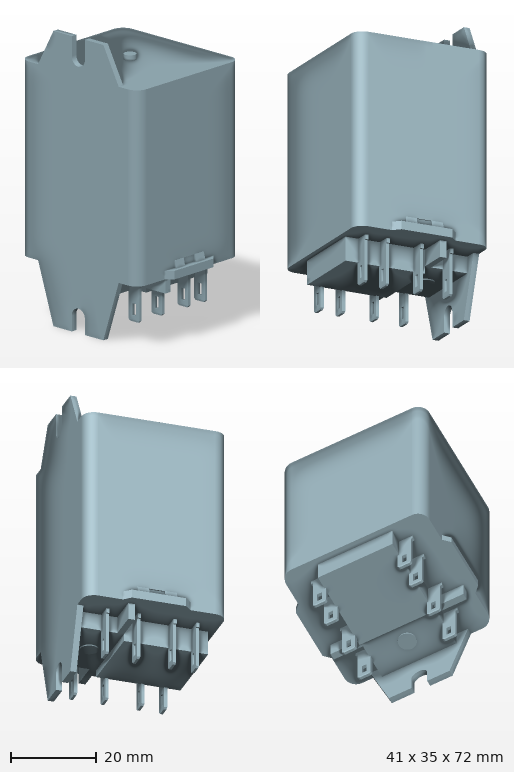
import cadquery as cq
import math


overall_height = 72

cover_width = 37.7
cover_depth = 35.0
cover_height = 47.8
corner_radius = 3.0
cover_center_y = cover_depth / 2

ear_thickness = 1.5
ear_root_half_width = 12.9
ear_tip_half_width = 8.0
top_ear_length = 9.15
bottom_ear_length = overall_height - cover_height - top_ear_length
slot_width = 4.2
top_slot_depth = 7.05
bottom_slot_depth = 6.0

overall_width = 41.0
tab_reach = (overall_width - cover_width) / 2
tab_length = 16.55
tab_height = 2.1
ramp_height = 1.8
ramp_span = 9.8
dent_width = 3.9
ramp_angle = 15
dent_angle = 6
dent_bottom_depth = 0.15
ramp_lip = 0.15

base_half_width = 9.8
deep_block_depth = 5.9
deep_block_front_y = 12.6
deep_block_back_y = 33.3
shallow_depth = 4.1
rib_half_width = 17.5
rib_front_y = 10.95

terminal_rows_y = (7.4, 15.1, 24.0, 29.6)
terminal_outer_x = 12.9
terminal_width = 3.45
terminal_thickness = 0.8
terminal_length = 11.45
terminal_x = terminal_outer_x - terminal_width / 2
tip_height = 0.4
tip_side_inset = 0.4
tip_face_inset = 0.1
shoulder_step = 0.5
shoulder_length = 1.15
eye_width = 1.2
eye_height = 2.95
eye_center_z = -8.5

stud_diameter = 3.0
stud_height = 1.4
plug_diameter = 4.5
plug_height = 0.3
plug_y = terminal_rows_y[0]


def box(x_min, x_max, y_min, y_max, z_min, z_max):
    """Box given by its limits along the three axes."""
    size = (x_max - x_min, y_max - y_min, z_max - z_min)
    return cq.Workplane("XY").box(*size, centered=False).translate((x_min, y_min, z_min))


def make_ear(root_z, length, slot_depth, direction):
    """Tapered ear with an open slot; direction is +1 upwards and -1 downwards."""
    tip_z = root_z + direction * length
    slot_radius = slot_width / 2
    slot_end_z = tip_z - direction * slot_depth
    slot_arc_z = slot_end_z + direction * slot_radius
    outline = (
        cq.Workplane("XZ")
        .moveTo(-ear_root_half_width, root_z)
        .lineTo(-ear_tip_half_width, tip_z)
        .lineTo(-slot_radius, tip_z)
        .lineTo(-slot_radius, slot_arc_z)
        .threePointArc((0, slot_end_z), (slot_radius, slot_arc_z))
        .lineTo(slot_radius, tip_z)
        .lineTo(ear_tip_half_width, tip_z)
        .lineTo(ear_root_half_width, root_z)
        .close()
    )
    return outline.extrude(-ear_thickness)


def make_tab():
    """Side tab with 45 degree ends on the +X side."""
    wall_x = cover_width / 2
    y_min = cover_center_y - tab_length / 2
    y_max = cover_center_y + tab_length / 2
    return (
        cq.Workplane("XY")
        .moveTo(wall_x, y_min)
        .lineTo(wall_x + tab_reach, y_min + tab_reach)
        .lineTo(wall_x + tab_reach, y_max - tab_reach)
        .lineTo(wall_x, y_max)
        .close()
        .extrude(tab_height)
    )


def extrude_along_wall(outline, width, center_y):
    """Closed XZ outline extruded along Y, centred on center_y."""
    return cq.Workplane("XZ", origin=(0, center_y + width / 2, 0)).polyline(outline).close().extrude(width)


def make_ramp(width, center_y):
    """Wedge on the +X wall that grows from a lip at its top down to the tab."""
    wall_x = cover_width / 2
    top_x = wall_x + ramp_lip
    bottom_x = top_x + ramp_height * math.tan(math.radians(ramp_angle))
    top_z = tab_height + ramp_height
    outline = [(wall_x, tab_height), (bottom_x, tab_height), (top_x, top_z), (wall_x, top_z)]
    return extrude_along_wall(outline, width, center_y)


def make_dent():
    """Shallow sloping recess cut into the +X wall between the two ramps, deepest at its top."""
    wall_x = cover_width / 2
    bottom_x = wall_x - dent_bottom_depth
    top_x = bottom_x - ramp_height * math.tan(math.radians(dent_angle))
    top_z = tab_height + ramp_height
    outline = [(wall_x, tab_height), (wall_x, top_z), (top_x, top_z), (bottom_x, tab_height)]
    return extrude_along_wall(outline, dent_width, cover_center_y)


def make_cover():
    cover = (
        cq.Workplane("XY", origin=(0, cover_center_y, 0))
        .rect(cover_width, cover_depth)
        .extrude(cover_height)
        .edges("|Z")
        .fillet(corner_radius)
    )
    cover = cover.union(make_ear(cover_height, top_ear_length, top_slot_depth, 1))
    cover = cover.union(make_ear(0, bottom_ear_length, bottom_slot_depth, -1))

    ramp_width = (ramp_span - dent_width) / 2
    ramp_offset = (dent_width + ramp_width) / 2
    catch = make_tab()
    for side in (-1, 1):
        catch = catch.union(make_ramp(ramp_width, cover_center_y + side * ramp_offset))
    dent = make_dent()
    cover = cover.union(catch).union(catch.mirror("YZ"))
    return cover.cut(dent).cut(dent.mirror("YZ"))


def make_terminal(center_y):
    """Flat +X terminal with a shoulder at its root, a solder eye and a bevelled tip."""
    blade_end_z = tip_height - terminal_length
    y_min = center_y - terminal_thickness / 2
    y_max = center_y + terminal_thickness / 2
    inner_x = terminal_outer_x - terminal_width
    eye_x = terminal_x - eye_width / 2

    blade = box(inner_x, terminal_outer_x, y_min, y_max, blade_end_z, 0)
    shoulder = box(inner_x, terminal_outer_x + shoulder_step, y_min, y_max, -shoulder_length, 0)
    tip = (
        cq.Workplane("XY", origin=(terminal_x, center_y, blade_end_z))
        .rect(terminal_width, terminal_thickness)
        .workplane(offset=-tip_height)
        .rect(terminal_width - 2 * tip_side_inset, terminal_thickness - 2 * tip_face_inset)
        .loft()
    )
    eye_bottom_z = eye_center_z - eye_height / 2
    eye = box(eye_x, eye_x + eye_width, y_min, y_max, eye_bottom_z, eye_bottom_z + eye_height)
    return blade.union(shoulder).union(tip).cut(eye)


def make_base():
    deep_block = box(
        -base_half_width, base_half_width, deep_block_front_y, deep_block_back_y, -deep_block_depth, 0
    )
    front_block = box(-base_half_width, base_half_width, ear_thickness, rib_front_y, -shallow_depth, 0)
    rib = box(-rib_half_width, rib_half_width, rib_front_y, deep_block_front_y, -shallow_depth, 0)
    base = deep_block.union(rib).union(front_block)
    for row_y in terminal_rows_y:
        terminal = make_terminal(row_y)
        base = base.union(terminal).union(terminal.mirror("YZ"))
    return base


def make_disc(diameter, center_y, bottom_z, height):
    return cq.Workplane("XY", origin=(0, center_y, bottom_z)).circle(diameter / 2).extrude(height)


cover = make_cover()
base = make_base()
stud = make_disc(stud_diameter, cover_center_y, cover_height, stud_height)
plug = make_disc(plug_diameter, plug_y, -shallow_depth - plug_height, plug_height)

result = cq.Compound.makeCompound([cover.val(), base.val(), stud.val(), plug.val()])